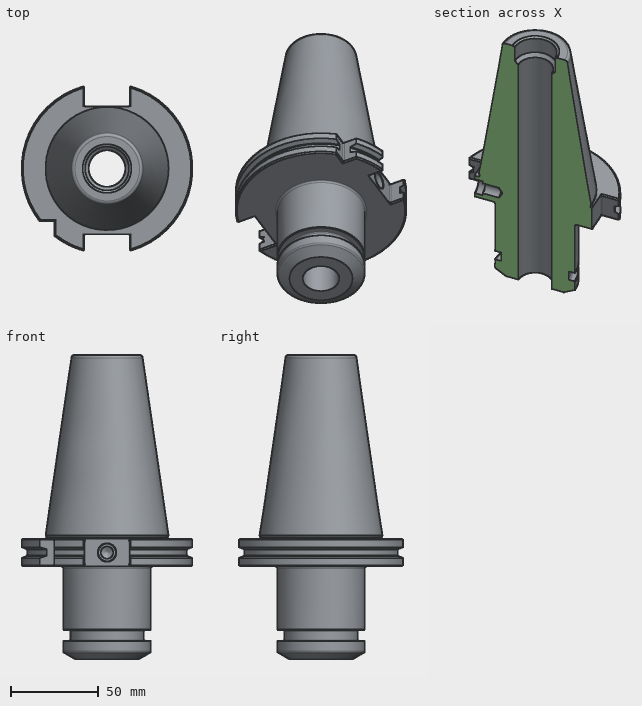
import cadquery as cq
import math

overall_height = 173.6

gauge_radius = 69.85 / 2
taper_slope = 7 / 24 / 2
taper_top = 101.6
taper_bottom = -1.2
taper_top_rounding = 2.0

relief_radius = 34.5
relief_fillet = 0.8

flange_radius = 97.5 / 2
flange_top = -3.2
flange_thickness = 15.9
flange_bottom = flange_top - flange_thickness
flange_middle = (flange_top + flange_bottom) / 2
flange_chamfer = 0.8
groove_floor_radius = 91.25 / 2
groove_floor_width = 3.75
groove_mouth_width = 6.3
groove_floor_fillet = 0.5

slot_width = 25.7
front_slot_floor = 37.5
back_slot_floor = 35.4
notch_wall = 30.0
slot_mouth_chamfer = 0.8
inner_corner_fillet = 0.5

side_hole_radius = 7 / 2
side_hole_mouth_radius = 10 / 2
side_hole_mouth_chamfer = 0.3
side_hole_mouth_depth = 5.0
side_hole_depth = 15.0
drill_tip_angle = 118

nose_radius = 50 / 2
nose_bottom = taper_top - overall_height
nose_fillet = 1.0
nose_groove_radius = 42 / 2
nose_groove_top = -55.4
nose_groove_bottom = -61.3
nose_groove_edge_chamfer = 0.4
nose_groove_fillet = 0.5
nose_end_radius = 36 / 2
nose_cone_angle = 30
nose_cone_rounding = 1.2

bore_radius = 20.75 / 2
pilot_radius = 25 / 2
pilot_depth = 11.0
pilot_mouth_radius = 27.8 / 2
pilot_mouth_angle = 30

tolerance = 0.01


def taper_radius(height):
    return gauge_radius - taper_slope * height


def revolve(profile):
    """Close a profile and spin it about the Y axis of its workplane."""
    return profile.close().revolve(360, (0, 0, 0), (0, 1, 0))


def circles_at(body, radius, *heights):
    """Pick the circular edges about the Z axis with this radius at any of the heights."""
    return body.edges("%CIRCLE").filter(
        lambda edge: abs(edge.radius() - radius) < tolerance
        and any(abs(edge.Center().z - height) < tolerance for height in heights)
    )


def make_taper():
    taper = revolve(
        cq.Workplane("XZ")
        .moveTo(0, flange_top)
        .lineTo(relief_radius + relief_fillet, flange_top)
        .radiusArc((relief_radius, flange_top + relief_fillet), relief_fillet)
        .lineTo(taper_radius(taper_bottom), taper_bottom)
        .lineTo(taper_radius(taper_top), taper_top)
        .lineTo(0, taper_top)
    )
    return taper.faces(">Z").edges().fillet(taper_top_rounding)


def make_groove_ring():
    floor_low = flange_middle - groove_floor_width / 2
    floor_high = flange_middle + groove_floor_width / 2
    ring = revolve(
        cq.Workplane("XZ")
        .moveTo(groove_floor_radius, floor_low)
        .lineTo(flange_radius, flange_middle - groove_mouth_width / 2)
        .lineTo(flange_radius, flange_middle + groove_mouth_width / 2)
        .lineTo(groove_floor_radius, floor_high)
    )
    return circles_at(ring, groove_floor_radius, floor_low, floor_high).fillet(groove_floor_fillet)


def box(x_min, x_max, y_min, y_max):
    """Box over the full height of the flange."""
    return (
        cq.Workplane("XY", origin=((x_min + x_max) / 2, (y_min + y_max) / 2, flange_bottom))
        .rect(x_max - x_min, y_max - y_min)
        .extrude(flange_thickness)
    )


def is_slot_mouth_corner(edge):
    """True for the upright edges where the slot walls meet the rim of the flange."""
    center = edge.Center()
    return abs(center.x) < slot_width and abs(center.y) > front_slot_floor + tolerance


def is_inner_corner(edge):
    """True for the upright edges at the bottom of the slots and the notch."""
    center = edge.Center()
    on_slot_floor = any(
        abs(center.y - floor) < tolerance for floor in (-front_slot_floor, back_slot_floor)
    )
    in_notch = abs(center.x + notch_wall) < tolerance and abs(center.y + notch_wall) < tolerance
    return on_slot_floor or in_notch


def is_chamfered(edge):
    """True for all edges of the end faces except the slot floors, which cross the YZ plane."""
    return edge.geomType() != "LINE" or abs(edge.Center().x) > tolerance


def make_flange():
    half = slot_width / 2
    flange = (
        cq.Workplane("XY", origin=(0, 0, flange_bottom))
        .circle(flange_radius)
        .extrude(flange_thickness)
        .cut(box(-half, half, -flange_radius, -front_slot_floor))
        .cut(box(-half, half, back_slot_floor, flange_radius))
        .cut(box(-flange_radius, -notch_wall, -flange_radius, -notch_wall))
    )
    flange = flange.edges("|Z").filter(is_slot_mouth_corner).chamfer(slot_mouth_chamfer)
    flange = flange.faces("<Z or >Z").edges().filter(is_chamfered).chamfer(flange_chamfer)
    flange = flange.edges("|Z").filter(is_inner_corner).fillet(inner_corner_fillet)
    return flange.cut(make_groove_ring())


def make_nose():
    chamfer = nose_groove_edge_chamfer
    cone_height = (nose_radius - nose_end_radius) * math.tan(math.radians(nose_cone_angle))
    cone_top = nose_bottom + cone_height
    nose = revolve(
        cq.Workplane("XZ")
        .moveTo(0, flange_bottom)
        .lineTo(nose_radius + nose_fillet, flange_bottom)
        .radiusArc((nose_radius, flange_bottom - nose_fillet), -nose_fillet)
        .lineTo(nose_radius, nose_groove_top + chamfer)
        .lineTo(nose_radius - chamfer, nose_groove_top)
        .lineTo(nose_groove_radius, nose_groove_top)
        .lineTo(nose_groove_radius, nose_groove_bottom)
        .lineTo(nose_radius - chamfer, nose_groove_bottom)
        .lineTo(nose_radius, nose_groove_bottom - chamfer)
        .lineTo(nose_radius, cone_top)
        .lineTo(nose_end_radius, nose_bottom)
        .lineTo(0, nose_bottom)
    )
    groove_corners = circles_at(nose, nose_groove_radius, nose_groove_top, nose_groove_bottom)
    nose = groove_corners.fillet(nose_groove_fillet)
    return circles_at(nose, nose_radius, cone_top).fillet(nose_cone_rounding)


def make_bore():
    mouth_depth = (pilot_mouth_radius - pilot_radius) * math.tan(math.radians(pilot_mouth_angle))
    pilot_floor = taper_top - pilot_depth
    cone_height = pilot_radius - bore_radius
    return revolve(
        cq.Workplane("XZ")
        .moveTo(0, nose_bottom)
        .lineTo(bore_radius, nose_bottom)
        .lineTo(bore_radius, pilot_floor - cone_height)
        .lineTo(pilot_radius, pilot_floor)
        .lineTo(pilot_radius, taper_top - mouth_depth)
        .lineTo(pilot_mouth_radius, taper_top)
        .lineTo(0, taper_top)
    )


def make_side_hole():
    tip_length = side_hole_radius / math.tan(math.radians(drill_tip_angle / 2))
    hole = revolve(
        cq.Workplane("XY")
        .moveTo(0, 0)
        .lineTo(side_hole_mouth_radius + side_hole_mouth_chamfer, 0)
        .lineTo(side_hole_mouth_radius, side_hole_mouth_chamfer)
        .lineTo(side_hole_mouth_radius, side_hole_mouth_depth)
        .lineTo(side_hole_radius, side_hole_mouth_depth)
        .lineTo(side_hole_radius, side_hole_depth)
        .lineTo(0, side_hole_depth + tip_length)
    )
    return hole.translate((0, -front_slot_floor, flange_middle))


result = make_taper().union(make_flange()).union(make_nose())
result = result.cut(make_bore()).cut(make_side_hole())